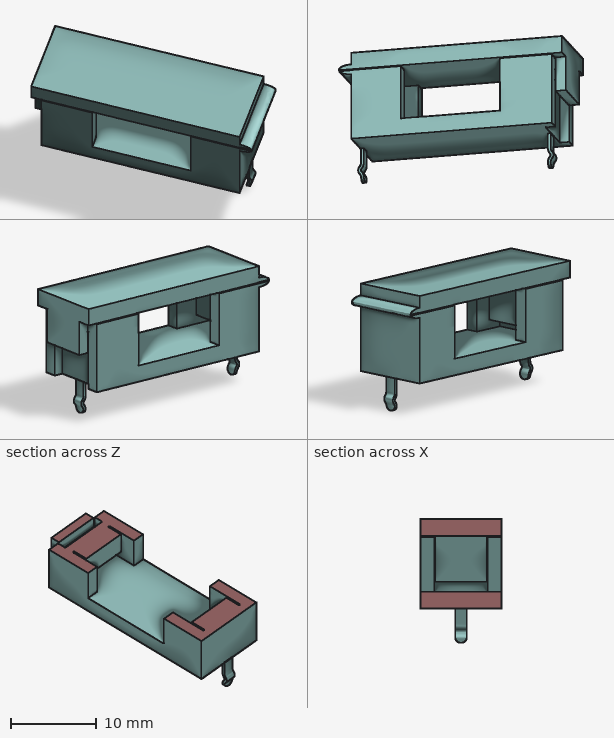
import cadquery as cq
import math


total_length = 27.0
width = 9.5
lid_top = 10.5
lip_length = 1.5
lid_length = total_length - lip_length

lid_thickness = 2.01
lid_bottom = lid_top - lid_thickness
flap_thickness = 1.25
flap_width = 6.0
flap_bottom = 4.4
block_reach = 3.2
block_floor_clearance = 1.15

parting_gap = 0.12
base_top = lid_bottom - parting_gap
floor_thickness = 2.0
side_wall = 1.6
end_wall = 1.2
cavity_width = width - 2 * side_wall
notch_depth = 1.15
notch_top = 7.0
body_start = flap_thickness + notch_depth
body_end = lid_length
window_start = 7.5
window_length = 12.0

lip_half_height = 0.6
lip_groove_depth = 0.1

pin_width = 1.4
pin_thickness = 0.35
pin_inset = 0.25
pin_length = 4.0
pin_straight = 1.75
pin_tip_radius = pin_width / 2
bend_angle = math.radians(42.5)
outer_bend_radius = 0.9
crest_radius = 0.425


def box(x_start, x_end, y_width, z_start, z_end):
    """Box between two X and two Z levels, centred on the mid-plane."""
    return (
        cq.Workplane("XY")
        .box(x_end - x_start, y_width, z_end - z_start, centered=(False, True, False))
        .translate((x_start, 0, z_start))
    )


def make_base():
    base = box(flap_thickness, body_end, width, 0, base_top)
    cavity = box(body_start + end_wall, body_end - end_wall, cavity_width, floor_thickness, base_top)
    window = box(window_start, window_start + window_length, width, floor_thickness, base_top)
    notch = box(flap_thickness, body_start, cavity_width, 0, notch_top)
    return base.cut(cavity).cut(window).cut(notch)


def make_lid():
    lid = box(0, lid_length, width, lid_bottom, lid_top)
    flap = box(0, flap_thickness, flap_width, flap_bottom, lid_bottom)
    return lid.union(flap)


def make_end_blocks():
    """Blocks hanging from the lid into the cavity, joined to the tops of the end walls."""
    bottom = floor_thickness + block_floor_clearance
    left = box(body_start, body_start + block_reach, flap_width, bottom, lid_bottom)
    right = box(body_end - block_reach, body_end, flap_width, bottom, lid_bottom)
    bridge = box(flap_thickness, body_start, flap_width, base_top, lid_bottom)
    return left.union(right).union(bridge)


def make_lip():
    """Half-elliptical finger lip centred on the lid underside, grooved on both sides at the gap."""
    lip = (
        cq.Workplane("XZ")
        .center(lid_length, lid_bottom)
        .ellipse(lip_length, lip_half_height)
        .extrude(width)
        .translate((0, width / 2, 0))
        .intersect(box(lid_length, total_length, width, 0, lid_top))
    )
    gap = box(lid_length, total_length, width, base_top, lid_bottom)
    gap_core = box(lid_length, total_length, width - 2 * lip_groove_depth, base_top, lid_bottom)
    return lip.cut(gap.cut(gap_core))


def arc_point(center, radius, angle):
    """Point on a circle at an angle measured from the +X axis."""
    return (center[0] + radius * math.cos(angle), center[1] + radius * math.sin(angle))


def make_pin(center_x, outward):
    """Flat pin with a crest bent towards outward (-1 or +1 along X) and a round tip."""
    half = pin_thickness / 2
    bend_half_height = (outer_bend_radius + crest_radius) * math.sin(bend_angle)
    crest_z = -pin_straight - bend_half_height
    bend_end = crest_z - bend_half_height

    upper = (outer_bend_radius, -pin_straight)
    lower = (outer_bend_radius, bend_end)
    crest_x = outer_bend_radius - (outer_bend_radius + crest_radius) * math.cos(bend_angle)
    crest = (crest_x, crest_z)
    mid_turn = bend_angle / 2

    def bend_points(side):
        """Arc points from top to bottom on one face: side +1 is the crest face."""
        big = outer_bend_radius - side * half
        small = crest_radius + side * half
        return [
            arc_point(upper, big, math.pi),
            arc_point(upper, big, math.pi + mid_turn),
            arc_point(upper, big, math.pi + bend_angle),
            arc_point(crest, small, 0),
            arc_point(lower, big, math.pi - bend_angle),
            arc_point(lower, big, math.pi - mid_turn),
            arc_point(lower, big, math.pi),
        ]

    front = bend_points(1)
    back = bend_points(-1)[::-1]
    profile = (
        cq.Workplane("XZ")
        .moveTo(half, 0)
        .lineTo(*front[0])
        .threePointArc(front[1], front[2])
        .threePointArc(front[3], front[4])
        .threePointArc(front[5], front[6])
        .lineTo(half, -pin_length)
        .lineTo(-half, -pin_length)
        .lineTo(*back[0])
        .threePointArc(back[1], back[2])
        .threePointArc(back[3], back[4])
        .threePointArc(back[5], back[6])
        .lineTo(-half, 0)
        .close()
        .extrude(pin_width)
        .translate((0, pin_width / 2, 0))
    )
    tip_start = pin_tip_radius - pin_length
    outline = (
        cq.Workplane("YZ")
        .moveTo(-pin_width / 2, 0)
        .lineTo(-pin_width / 2, tip_start)
        .threePointArc((0, -pin_length), (pin_width / 2, tip_start))
        .lineTo(pin_width / 2, 0)
        .close()
        .extrude(outer_bend_radius + crest_radius, both=True)
    )
    pin = profile.intersect(outline)
    if outward < 0:
        pin = pin.mirror("YZ")
    return pin.translate((center_x, 0, 0))


result = (
    make_base()
    .union(make_lid())
    .union(make_end_blocks())
    .union(make_lip())
    .union(make_pin(body_start + pin_inset, -1))
    .union(make_pin(body_end - pin_inset, 1))
)